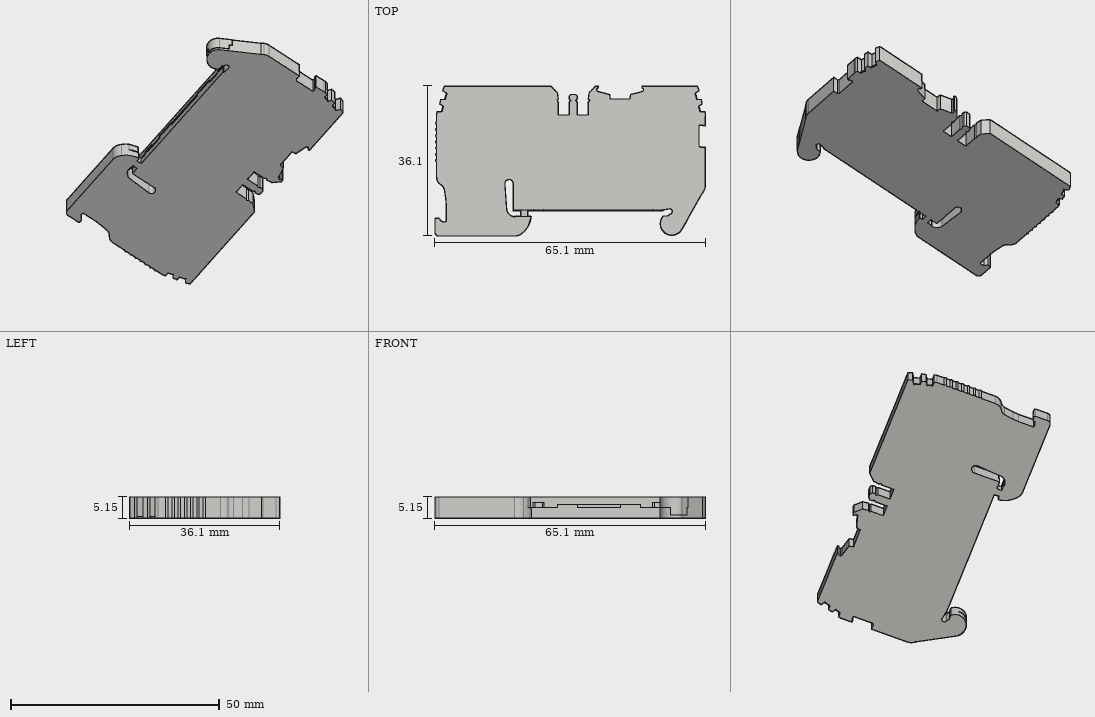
import cadquery as cq
import math

thickness = 5.15
top_y = 36.1
left_x = 0.4
right_x = 65.05
parting_z = 2.6
overlap = 0.05
shell_step = 0.2

shoulder_profile = [
    (1.9, top_y), (1.5, 35.0), (2.55, 34.3), (2.15, 32.9), (1.0, 32.9),
    (0.8, 31.8), (1.7, 31.2), (1.4, 29.95), (0.1, 29.95), (0.0, 29.25),
]
shoulder_tip = 0.05
shoulder_tip_height = 0.3
tooth_floor_z = 0.425
tooth_floor_width = 0.2

rib_count = 7
rib_pitch = 1.5
rib_width = 0.6
rib_height = 0.2
first_rib_y = 27.15

post_x = 33.3
post_half_width = 1.0
slot_half_span = 3.6
slot_floor_y = 29.2
post_top_y = 34.1
post_chamfer = 0.45
detent_y = 32.6
detent_size = 0.3
slot_lip_y = 34.45
slot_lip_lean = 0.2
slot_chamfer = 1.55

marker_x = 44.55
marker_half_mouth = 5.2
marker_half_width = 5.6
marker_half_floor = 2.35
marker_shelf_y = 34.05
marker_floor_y = 33.0

notch_depth = 1.5
notch_low_y = 21.4
notch_high_y = 26.65
notch_chamfer = 0.25
notch_lip_length = 0.5
notch_lip_height = 0.2

rail_y = 6.3
foot_y = 4.7
heel_r = 1.0
heel_top_y = 4.35
lip_r = 0.3
spring_slot_x = 18.8
spring_slot_r = 1.0
spring_slot_top_y = 12.65
foot_tip_x = 23.2
foot_tip_trim_x = 23.05
hook_mouth_x = 54.9
hook_x = 57.0
hook_y = 3.0
hook_r = 2.8
slant_top_y = 11.5
slant_blend_r = 2.6
hook_set_back = 0.1
hook_tab_x = (56.65, 60.55)
hook_tab_z = 0.85
slant_step_x = 60.9
slant_step_top_y = 10.35

foot_ledge_x = 19.3
bridge_x = (20.65, 22.35)
tongue_x = (29.5, 49.4)
tongue_z = 3.4
window_x = (34.25, 44.6)
window_depth = 0.1
pocket_starts = (23.65, 52.35)
pocket_width = 2.6
pocket_top_z = 3.85
pocket_depth = 0.4
pocket_end_slope = 0.4


def box(x_range, y_range, z_range):
    """Box given by its limits along each axis."""
    corner = cq.Vector(x_range[0], y_range[0], z_range[0])
    return cq.Workplane(
        cq.Solid.makeBox(
            x_range[1] - x_range[0],
            y_range[1] - y_range[0],
            z_range[1] - z_range[0],
            corner,
        )
    )


def prism(points, height=thickness):
    """Closed polygon extruded up from Z = 0."""
    return cq.Workplane("XY").polyline(points).close().extrude(height)


def hook_point(degrees):
    """Point on the round hook at an angle measured from +X."""
    angle = math.radians(degrees)
    return hook_x + hook_r * math.cos(angle), hook_y + hook_r * math.sin(angle)


def hook_tangent_point():
    """Point where the slanted right side runs tangentially into the hook."""
    dx = right_x - hook_x
    dy = slant_top_y - hook_y
    angle = math.atan2(dy, dx) - math.acos(hook_r / math.hypot(dx, dy))
    return hook_point(math.degrees(angle))


def body():
    """Full-height body: end shoulders, slanted side, hook, rail edge and foot."""
    left_shoulder = [(left_x + inset, y) for inset, y in shoulder_profile]
    right_shoulder = [(right_x - inset, y) for inset, y in shoulder_profile]
    arc_inset = 1 - math.sqrt(0.5)
    heel_inset = heel_r * arc_inset
    lip_inset = lip_r * arc_inset
    slot_left_x = spring_slot_x - 2 * spring_slot_r

    outline = cq.Workplane("XY").moveTo(*left_shoulder[0])
    for point in right_shoulder[:-1]:
        outline = outline.lineTo(*point)
    tip_y = right_shoulder[-1][1]
    outline = outline.lineTo(right_x + shoulder_tip, tip_y)
    outline = outline.lineTo(right_x, tip_y - shoulder_tip_height)

    outline = (
        outline.lineTo(right_x, slant_top_y)
        .lineTo(*hook_tangent_point())
        .threePointArc(hook_point(225), hook_point(138))
        .lineTo(55.95, 4.9)
        .lineTo(56.6, 5.35)
        .threePointArc((57.05, 5.9), (56.65, 6.6))
        .lineTo(hook_mouth_x, rail_y)
    )
    outline = (
        outline.lineTo(spring_slot_x, rail_y)
        .lineTo(spring_slot_x, spring_slot_top_y)
        .threePointArc((spring_slot_x - spring_slot_r, spring_slot_top_y + spring_slot_r),
                       (slot_left_x, spring_slot_top_y))
        .lineTo(17.3, 6.25)
        .threePointArc((17.85, 5.35), (19.15, foot_y))
        .lineTo(foot_tip_x, foot_y)
    )
    outline = (
        outline.threePointArc((22.4, 2.35), (21.3, 1.0))
        .threePointArc((20.3, 0.25), (19.15, 0))
        .lineTo(heel_r, 0)
        .threePointArc((heel_inset, heel_inset), (0, heel_r))
        .lineTo(0, heel_top_y - lip_r)
        .threePointArc((lip_inset, heel_top_y - lip_inset), (lip_r, heel_top_y))
        .lineTo(1.0, heel_top_y)
        .lineTo(1.55, 3.65)
        .threePointArc((2.2, 3.45), (2.75, 3.6))
    )
    outline = (
        outline.lineTo(2.75, 7.35)
        .lineTo(2.6, 8.9)
        .lineTo(2.3, 11.15)
        .threePointArc((1.95, 11.85), (1.3, 12.45))
        .threePointArc((0.65, 13.2), (left_x, 14.25))
    )
    for point in reversed(left_shoulder[1:]):
        outline = outline.lineTo(*point)
    solid = outline.close().extrude(thickness)
    blend_edge = cq.selectors.NearestToPointSelector((right_x, slant_top_y, thickness / 2))
    return solid.edges("|Z").edges(blend_edge).fillet(slant_blend_r)


def grip_ribs():
    """Rounded vertical ribs on the left end, sunk slightly into the body."""
    ribs = cq.Workplane("XY")
    for index in range(rib_count):
        y = first_rib_y - index * rib_pitch
        ribs = ribs.add(
            cq.Workplane("XY")
            .moveTo(left_x + rib_height, y - rib_width / 2)
            .lineTo(left_x, y - rib_width / 2)
            .threePointArc((left_x - rib_height, y), (left_x, y + rib_width / 2))
            .lineTo(left_x + rib_height, y + rib_width / 2)
            .close()
            .extrude(thickness)
        )
    return ribs.combine()


def plug_slot(side):
    """Slot beside the post; side is -1 for the left slot and +1 for the right."""
    wall = slot_half_span
    post = post_half_width
    half = [
        (0, post_top_y), (post - post_chamfer, post_top_y), (post, post_top_y - post_chamfer),
        (post, detent_y + detent_size), (post - detent_size, detent_y), (post, detent_y - detent_size),
        (post, slot_floor_y), (wall, slot_floor_y),
        (wall, detent_y - detent_size), (wall + detent_size, detent_y), (wall, detent_y + detent_size),
        (wall + slot_lip_lean, slot_lip_y), (wall + slot_lip_lean + slot_chamfer, top_y), (0, top_y),
    ]
    return prism([(post_x + side * x, y) for x, y in half])


def marker_recess():
    """Symmetric snap-in recess for a marker strip."""
    half = [
        (marker_half_floor, marker_floor_y), (marker_half_floor + 0.1, marker_shelf_y),
        (marker_half_width - 0.2, 34.85), (marker_half_width, 35.1),
        (marker_half_width, 35.4), (marker_half_mouth, 35.7), (marker_half_mouth, top_y),
    ]
    right = [(marker_x + x, y) for x, y in half]
    left = [(marker_x - x, y) for x, y in reversed(half)]
    return prism(right + left)


def end_notch():
    """Notch in the right end."""
    floor_x = right_x - notch_depth
    lip_x = right_x - notch_lip_length
    lip_y = notch_high_y - notch_lip_height
    return prism([
        (right_x, notch_low_y), (floor_x + notch_chamfer, notch_low_y),
        (floor_x, notch_low_y + notch_chamfer), (floor_x, notch_high_y),
        (lip_x, notch_high_y), (lip_x, lip_y), (right_x, lip_y),
    ])


def rail_strip():
    """Proud lower-shell strip along the rail edge, with its tongue and window."""
    edge_range = (rail_y - shell_step, rail_y + overlap)
    strip = box((spring_slot_x, hook_mouth_x), edge_range, (0, parting_z))
    strip = strip.union(box(tongue_x, edge_range, (0, tongue_z)))
    window = box(window_x, (rail_y - shell_step, rail_y - shell_step + window_depth), (parting_z, tongue_z))
    return strip.cut(window)


def foot_ledge():
    """Lower-shell ledge along the foot, and the bridge across to the body."""
    ledge = box((foot_ledge_x, foot_tip_trim_x), (foot_y - overlap, foot_y + shell_step), (0, parting_z))
    bridge = box(bridge_x, (foot_y, rail_y), (0, parting_z))
    return ledge.union(bridge)


def foot_tip_trim():
    """Sliver removed from the foot tip above the parting height."""
    outer_x = foot_tip_x + overlap
    upper_y = foot_y + overlap
    sliver = [
        (22.4, 2.35), (outer_x, 2.35), (outer_x, upper_y), (foot_tip_trim_x, upper_y), (foot_tip_trim_x, 4.4),
    ]
    return prism(sliver, thickness - parting_z).translate((0, 0, parting_z))


def rail_pocket(start_x):
    """Shallow pocket with sloping ends in the upper shell, just above the parting."""
    end_x = start_x + pocket_width
    floor_y = rail_y + pocket_depth
    profile = [
        (start_x, rail_y), (start_x + pocket_end_slope, floor_y),
        (end_x - pocket_end_slope, floor_y), (end_x, rail_y),
    ]
    return (
        cq.Workplane("XY", origin=(0, 0, parting_z))
        .polyline(profile)
        .close()
        .extrude(pocket_top_z - parting_z)
    )


def tooth_floors():
    """Thin ledges at the back of the tooth gaps on both ends."""
    floors = cq.Workplane("XY")
    for first in (2, 6):
        upper, lower = shoulder_profile[first:first + 2]
        back = [upper, lower]
        back += [(inset - tooth_floor_width, y) for inset, y in (lower, upper)]
        floors = floors.add(prism([(left_x + inset, y) for inset, y in back], tooth_floor_z))
        floors = floors.add(prism([(right_x - inset, y) for inset, y in back], tooth_floor_z))
    return floors.combine()


def hook_steps(solid):
    """Skin removed around the hook where one shell steps back behind the other."""
    shifted = solid.translate((0, hook_set_back, 0))
    hook_range = (0, hook_y + hook_r)
    slant_range = (0, slant_step_top_y)
    regions = (
        box((hook_x - hook_r, hook_tab_x[0]), hook_range, (0, parting_z))
        .union(box(hook_tab_x, hook_range, (0, hook_tab_z)))
        .union(box((hook_tab_x[1], right_x), slant_range, (0, parting_z)))
        .union(box((slant_step_x, right_x), slant_range, (parting_z, thickness)))
    )
    return regions.cut(shifted)


result = body()
result = result.cut(hook_steps(result)).cut(foot_tip_trim())
result = result.union(grip_ribs()).union(tooth_floors())
for side in (-1, 1):
    result = result.cut(plug_slot(side))
result = result.cut(marker_recess()).cut(end_notch())
for start_x in pocket_starts:
    result = result.cut(rail_pocket(start_x))
result = result.union(rail_strip()).union(foot_ledge())